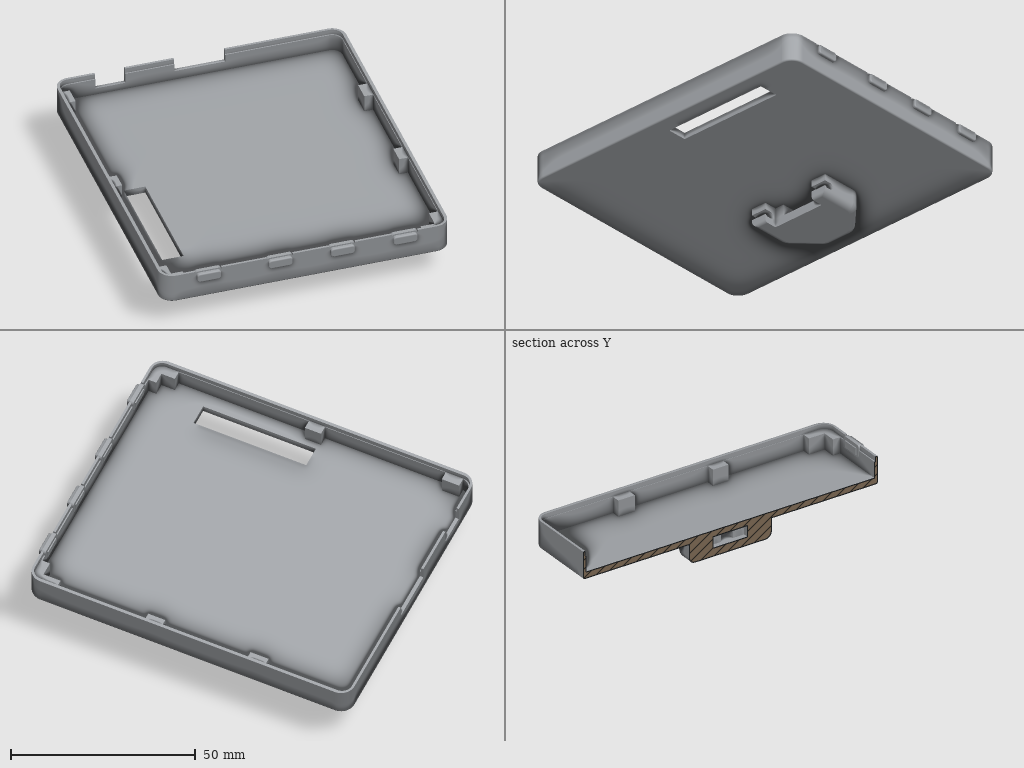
import cadquery as cq
tray_length = 96.1
tray_width = 82.1
tray_height = 8.5
corner_radius = 4.0
wall = 1.05
floor_thickness = 2.0
bottom_edge_fillet = 0.5
cavity_length = tray_length - 2 * wall
cavity_width = tray_width - 2 * wall
cavity_radius = corner_radius - wall

rim_depth = 1.5
ledge_x = 0.35
ledge_y = 0.15
ledge_z = tray_height - rim_depth

pad_depth = 2.5
pad_spans_back = [(-22.6, -17.2), (8.3, 13.4)]
pad_spans_front = [(-44.3, -39.1), (-3.0, 1.8)]
corner_pad_leg_thickness = 2.3
corner_pad_back = (39.6, 33.4)
corner_pad_front = (40.7, -34.2)

window_x = (-2.3, 31.4)
window_y = (-35.7, -29.6)

wall_notches = [(-6.8, 7.6, 3.7), (-29.3, -20.8, 4.5)]

snap_centres_y = [27.9, 10.1, -7.6, -27.9]
snap_corner_radius = 0.8
plate_length = 7.4
plate_height = 3.9
plate_inside = 0.1
pad_inset = 1.1
pad_height = 2.1
pad_inside = 0.4
nub_length = 6.8
nub_height = 2.7
nub_drop = 0.4
nub_outside = 1.0
nub_fillet = 0.4

foot_half_width = 13.45
foot_front_y = 9.4
foot_back_y = 30.4
foot_height = 6.0
foot_chamfer = 8.4
foot_corner_radius = 3.5
foot_edge_fillet = 2.0
foot_front_edge_fillet = 0.9
recess_width = 17.0
recess_depth = 4.0
groove_depth = 3.0
groove_height = 2.0
groove_centre_z = -3.0
lip_height = 0.5
lip_width = 0.75
pocket_width = 11.2
pocket_height = 3.4
pocket_depth = 5.0
hollow_radius = 1.95


def block(x_range, y_range, z_range):
    """Axis-aligned box from its coordinate ranges."""
    size = [high - low for low, high in (x_range, y_range, z_range)]
    return cq.Workplane("XY").box(*size, centered=False).translate((x_range[0], y_range[0], z_range[0]))


def rounded_slab(length, width, radius, z_bottom, z_top):
    """Centred rectangular slab with rounded vertical edges."""
    slab = cq.Workplane("XY").workplane(offset=z_bottom).rect(length, width).extrude(z_top - z_bottom)
    return slab.edges("|Z").fillet(radius)


def make_tray():
    shell = rounded_slab(tray_length, tray_width, corner_radius, 0, tray_height)
    shell = shell.faces("<Z").edges().fillet(bottom_edge_fillet)
    cavity = rounded_slab(cavity_length, cavity_width, cavity_radius, floor_thickness, tray_height)
    rim_opening = rounded_slab(
        cavity_length + 2 * ledge_x, cavity_width + 2 * ledge_y, cavity_radius, ledge_z, tray_height
    )
    return shell.cut(cavity).cut(rim_opening)


def make_pads():
    """Floor pads along the +Y and -Y walls and L-shaped pads in the +X corners."""
    z_range = (floor_thickness / 2, ledge_z)
    half_length = cavity_length / 2
    half_width = cavity_width / 2
    back_y = (half_width - pad_depth, half_width)
    front_y = (-half_width, -half_width + pad_depth)
    leg_x = (half_length - corner_pad_leg_thickness, half_length)

    pads = block((corner_pad_back[0], half_length), back_y, z_range)
    pads = pads.union(block(leg_x, (corner_pad_back[1], half_width), z_range))
    pads = pads.union(block((corner_pad_front[0], half_length), front_y, z_range))
    pads = pads.union(block(leg_x, (-half_width, corner_pad_front[1]), z_range))
    for span in pad_spans_back:
        pads = pads.union(block(span, back_y, z_range))
    for span in pad_spans_front:
        pads = pads.union(block(span, front_y, z_range))

    bounds = rounded_slab(tray_length - wall, tray_width - wall, corner_radius - wall / 2, 0, ledge_z)
    return pads.intersect(bounds)


def add_snap(body, centre_y):
    """Set a snap into the rim of the +X wall: plate and pad face the cavity, nub stands proud outside."""
    outer_x = tray_length / 2
    inner_x = cavity_length / 2
    middle_x = outer_x - wall / 2

    def snap_block(x_range, length, top, height):
        y_range = (centre_y - length / 2, centre_y + length / 2)
        return block(x_range, y_range, (top - height, top))

    rim_gap = snap_block((inner_x, outer_x), plate_length, tray_height, plate_height - snap_corner_radius)
    plate = snap_block((inner_x - plate_inside, outer_x), plate_length, tray_height, plate_height)
    plate = plate.edges("|X").fillet(snap_corner_radius)

    pad_length = plate_length - 2 * pad_inset
    pad = snap_block((inner_x - pad_inside, middle_x), pad_length, tray_height - pad_inset, pad_height)

    nub = snap_block((middle_x, outer_x + nub_outside), nub_length, tray_height - nub_drop, nub_height)
    nub = nub.edges("|X").fillet(snap_corner_radius)
    nub = nub.faces(">X").edges().fillet(nub_fillet)
    return body.cut(rim_gap).union(plate).union(pad).union(nub)


def make_foot():
    """Chamfered foot with a grooved -Y face, a central recess and a pocket in its middle."""
    foot = block((-foot_half_width, foot_half_width), (foot_front_y, foot_back_y), (-foot_height, 0))
    foot = foot.edges("|Z and >Y").chamfer(foot_chamfer)
    foot = foot.edges("|Z").edges("not <Y").fillet(foot_corner_radius)
    foot = foot.faces("<Z").edges("not <Y").fillet(foot_edge_fillet)

    envelope = block((-foot_half_width, foot_half_width), (foot_front_y, foot_back_y), (-foot_height, 0))
    foot = foot.intersect(envelope.edges("<Z and <Y").fillet(foot_front_edge_fillet))

    groove_radius = groove_height / 2
    groove_x = (-foot_half_width, foot_half_width)
    tip_y = foot_front_y + groove_depth - groove_radius
    groove = block(
        groove_x,
        (foot_front_y, tip_y),
        (groove_centre_z - groove_radius, groove_centre_z + groove_radius),
    )
    tip = (
        cq.Workplane("YZ", origin=(-foot_half_width, 0, 0))
        .center(tip_y, groove_centre_z)
        .circle(groove_radius)
        .extrude(2 * foot_half_width)
    )

    groove_bottom = groove_centre_z - groove_radius
    lip = (
        cq.Workplane("YZ", origin=(-foot_half_width, 0, 0))
        .moveTo(foot_front_y, groove_bottom)
        .lineTo(foot_front_y, groove_bottom + lip_height)
        .lineTo(foot_front_y + lip_width, groove_bottom)
        .close()
        .extrude(2 * foot_half_width)
    )

    recess_y = foot_front_y + recess_depth
    recess = block((-recess_width / 2, recess_width / 2), (foot_front_y, recess_y), (-foot_height, 0))

    pocket_end_y = recess_y + pocket_depth
    pocket = block((-pocket_width / 2, pocket_width / 2), (recess_y, pocket_end_y), (-pocket_height, 0))
    hollow = cq.Workplane("XY").center(0, pocket_end_y).circle(hollow_radius).extrude(-pocket_height)
    foot = foot.cut(groove.cut(lip)).cut(tip)
    return foot.cut(recess).cut(pocket).cut(hollow)


result = make_tray().union(make_pads())

result = result.cut(block(window_x, window_y, (0, floor_thickness)))

for notch_start, notch_end, notch_depth in wall_notches:
    notch_x = (-tray_length / 2, -cavity_length / 2)
    result = result.cut(block(notch_x, (notch_start, notch_end), (tray_height - notch_depth, tray_height)))

for snap_y in snap_centres_y:
    result = add_snap(result, snap_y)

result = result.union(make_foot())